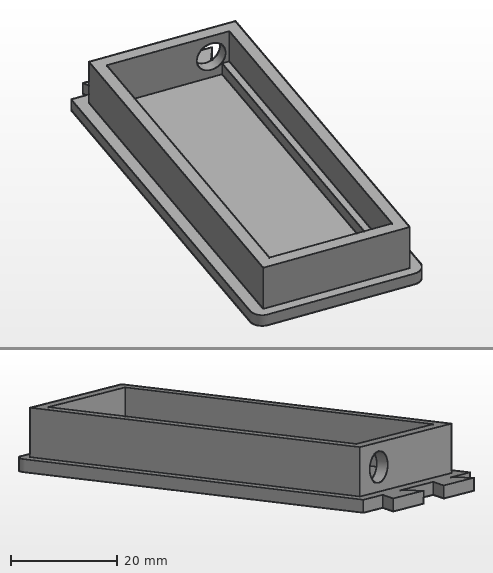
import cadquery as cq

total_length = 83.7
plate_width = 35.7
total_height = 12.0

plate_thickness = 2.5
corner_radius = 2.5
tab_length = 3.85
tab_tip_width = 10.2
tab_root_width = 5.95
tab_spacing = 16.9

side_margin = 2.5
right_margin = 2.0
wall = 2.5
floor_height = 2.5

ledge_width = 1.5
ledge_height = 2.5

hole_diameter = 6.0
hole_from_box_side = 6.3

plate_length = total_length - tab_length
box_left = tab_length + side_margin
box_length = total_length - right_margin - box_left
box_width = plate_width - 2 * side_margin
box_height = total_height - plate_thickness
cavity_left = box_left + wall
cavity_length = box_length - 2 * wall
cavity_width = box_width - 2 * wall


def block(left, length, width, bottom, height, centre_y=0):
    """Box placed by its -X face, bottom face and centre in Y."""
    return (
        cq.Workplane("XY")
        .box(length, width, height, centered=(False, True, False))
        .translate((left, centre_y, bottom))
    )


def dovetail_tab(centre_y):
    """Tab that widens from the plate edge towards its tip."""
    return (
        cq.Workplane("XY")
        .moveTo(tab_length, centre_y - tab_root_width / 2)
        .lineTo(tab_length, centre_y + tab_root_width / 2)
        .lineTo(0, centre_y + tab_tip_width / 2)
        .lineTo(0, centre_y - tab_tip_width / 2)
        .close()
        .extrude(plate_thickness)
    )


plate = block(tab_length, plate_length, plate_width, 0, plate_thickness)
plate = plate.edges("|Z and >X").fillet(corner_radius)
for side in (-1, 1):
    plate = plate.union(dovetail_tab(side * tab_spacing / 2))

outer_box = block(box_left, box_length, box_width, plate_thickness, box_height)
cavity = block(cavity_left, cavity_length, cavity_width, floor_height, total_height - floor_height)
body = plate.union(outer_box).cut(cavity)

ledge_y = (cavity_width - ledge_width) / 2
body = body.union(block(cavity_left, cavity_length, ledge_width, floor_height, ledge_height, ledge_y))

hole_y = box_width / 2 - hole_from_box_side
hole_z = plate_thickness + box_height / 2
hole = (
    cq.Workplane("YZ", origin=(box_left, hole_y, hole_z))
    .circle(hole_diameter / 2)
    .extrude(wall)
)
result = body.cut(hole)